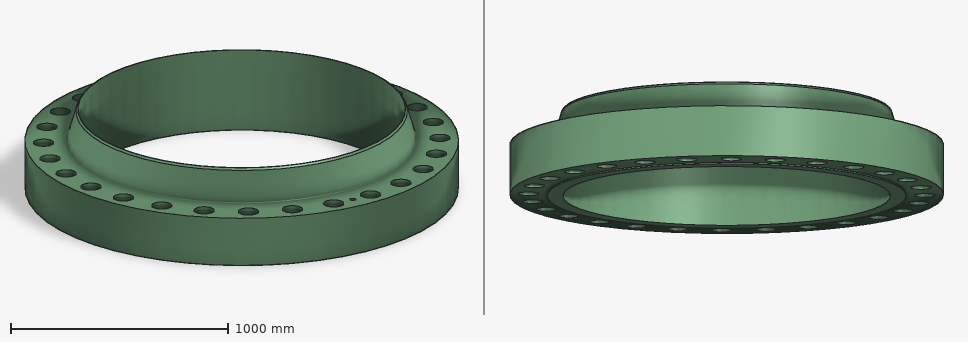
import cadquery as cq
import math

FLANGE_DIAMETER = 1994.0
FLANGE_THICKNESS = 233.4
OVERALL_HEIGHT = 395.22

RAISED_FACE_DIAMETER = 1651.0
RAISED_FACE_HEIGHT = 6.4

HUB_BASE_DIAMETER = 1610.0
HUB_FILLET_RADIUS = 5.0
PIPE_DIAMETER = 1524.0
PIPE_WALL = 9.53
BORE_DIAMETER = PIPE_DIAMETER - 2 * PIPE_WALL

WELD_BEVEL_ANGLE = 37.5
WELD_LAND = 1.6
HUB_END_STRAIGHT = 4.0

BOLT_COUNT = 28
BOLT_CIRCLE_DIAMETER = 1822.4
BOLT_HOLE_DIAMETER = 92.0
BOLT_PITCH_ANGLE = 360.0 / BOLT_COUNT

SMALL_HOLE_DIAMETER = 27.0
SMALL_HOLE_DEPTH = 30.0

BOTTOM_Z = -RAISED_FACE_HEIGHT
TOP_Z = OVERALL_HEIGHT - RAISED_FACE_HEIGHT


def flange_body():
    """Revolved ring: raised face, flange plate, tapered hub and weld bevel."""
    bore_radius = BORE_DIAMETER / 2
    pipe_radius = PIPE_DIAMETER / 2
    raised_face_radius = RAISED_FACE_DIAMETER / 2
    flange_radius = FLANGE_DIAMETER / 2
    bevel_width = PIPE_WALL - WELD_LAND
    bevel_height = bevel_width / math.tan(math.radians(WELD_BEVEL_ANGLE))
    bevel_start_z = TOP_Z - bevel_height
    profile = [
        (bore_radius, BOTTOM_Z),
        (raised_face_radius, BOTTOM_Z),
        (raised_face_radius, 0),
        (flange_radius, 0),
        (flange_radius, FLANGE_THICKNESS),
        (HUB_BASE_DIAMETER / 2, FLANGE_THICKNESS),
        (pipe_radius, bevel_start_z - HUB_END_STRAIGHT),
        (pipe_radius, bevel_start_z),
        (bore_radius + WELD_LAND, TOP_Z),
        (bore_radius, TOP_Z),
    ]
    return cq.Workplane("XZ").polyline(profile).close().revolve(360, (0, 0), (0, 1))


def fillet_hub_root(body):
    """Round the inside corner where the hub meets the back of the plate."""
    hub_root = body.faces("|Z").faces(">Z[-2]").edges(cq.selectors.RadiusNthSelector(0))
    return hub_root.fillet(HUB_FILLET_RADIUS)


def vertical_cylinder(angle, diameter, bottom_z, top_z):
    """Cylinder centred on the bolt circle at the given angle in degrees."""
    radius = BOLT_CIRCLE_DIAMETER / 2
    x = radius * math.cos(math.radians(angle))
    y = radius * math.sin(math.radians(angle))
    return cq.Workplane("XY", origin=(x, y, bottom_z)).circle(diameter / 2).extrude(top_z - bottom_z)


def drill_bolt_holes(body):
    """Cut the evenly spaced through holes, the first one on +X."""
    for index in range(BOLT_COUNT):
        angle = index * BOLT_PITCH_ANGLE
        body = body.cut(vertical_cylinder(angle, BOLT_HOLE_DIAMETER, 0, FLANGE_THICKNESS))
    return body


def drill_small_hole(body):
    """Cut the blind hole between the first two bolt holes."""
    floor_z = FLANGE_THICKNESS - SMALL_HOLE_DEPTH
    hole = vertical_cylinder(BOLT_PITCH_ANGLE / 2, SMALL_HOLE_DIAMETER, floor_z, FLANGE_THICKNESS)
    return body.cut(hole)


result = flange_body()
result = fillet_hub_root(result)
result = drill_bolt_holes(result)
result = drill_small_hole(result)